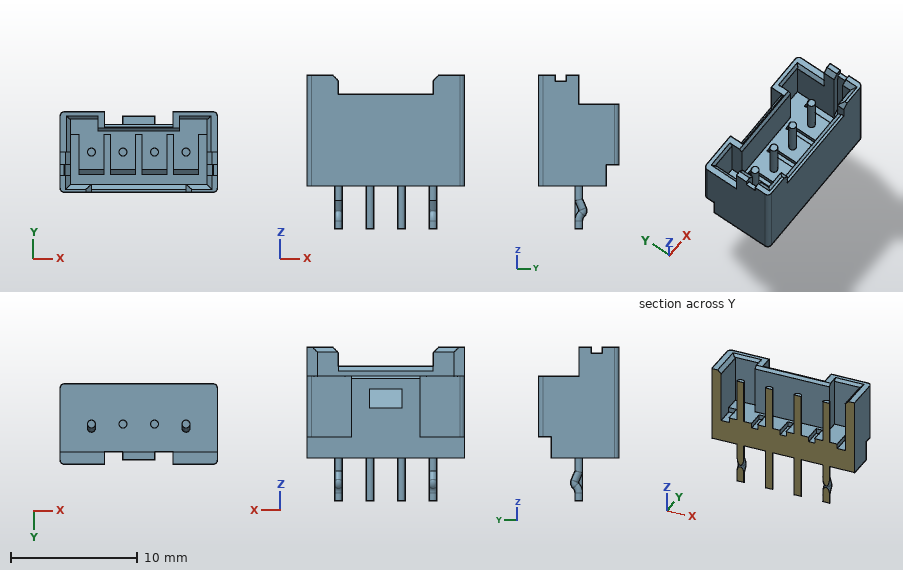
import cadquery as cq
import math

WIDTH = 12.5
DEPTH = 6.4
HEIGHT = 8.8
HALF_WIDTH = WIDTH / 2
CORNER_RADIUS = 0.35
BASE_DEPTH = 5.4
EAR_BOTTOM = 1.68
LOW_RIM = 6.5
TALL_DEPTH = 3.2

SIDE_WALL = 0.82
FRONT_WALL = 0.61
EAR_BACK_WALL = 0.56
RECESS_HALF_WIDTH = 2.71
RECESS_WALL = 0.51
EAR_INNER_X = 3.25
FLOOR = 2.3
CAVITY_HALF_WIDTH = HALF_WIDTH - SIDE_WALL
CAVITY_BACK = DEPTH - EAR_BACK_WALL
RECESS_INNER_Y = BASE_DEPTH - RECESS_WALL

TALL_BEVEL = 0.39
LOW_SIDE_BEVEL = 0.3
LOW_BACK_BEVEL = 0.22
RECESS_EDGE_BEVEL = 0.2

NOTCH_HALF_WIDTH = 3.75
NOTCH_DEPTH = 1.5
NOTCH_BEVEL = 0.45

SLOT_FRONT = 1.35
SLOT_BACK = 2.2
SLOT_DEPTH = 0.48
SLOT_TOP_WALL = 0.34
SLOT_BOTTOM_WALL = 0.4

LATCH_WIDTH = 2.55
LATCH_REACH = 0.65
LATCH_TOP = 5.5
LATCH_HEIGHT = 1.54

PIN_COUNT = 4
PIN_PITCH = 2.5
PIN_RADIUS = 0.31
PIN_Y = 3.2
PIN_TOP = 5.9
PIN_BOTTOM = -3.4
KINK_BOTTOM = -2.78
KINK_SWEEP_RADIUS = 0.84
KINK_SWEEP_ANGLE = math.radians(45)
KINK_BEND_RADIUS = 0.32
KINK_LEAN = math.radians(23)

STRIP_DROP = 0.41
STRIP_BACK = 4.6
PAD_WIDTH = 1.99
PAD_FOOT = 1.41
PAD_EDGE = PAD_FOOT + STRIP_DROP

PIN_XS = [PIN_PITCH * (i - (PIN_COUNT - 1) / 2) for i in range(PIN_COUNT)]


def block(x0, x1, y0, y1, z0, z1):
    """Box given by its two limits along each axis."""
    return cq.Workplane("XY").box(x1 - x0, y1 - y0, z1 - z0, centered=False).translate((x0, y0, z0))


def across(points, x0, x1):
    """Prism along X from a (Y, Z) outline."""
    return cq.Workplane("YZ").polyline(points).close().extrude(x1 - x0).translate((x0, 0, 0))


def along(points, y0, y1):
    """Prism along Y from an (X, Z) outline."""
    return cq.Workplane("XZ").polyline(points).close().extrude(y0 - y1).translate((0, y0, 0))


def both_sides(shape):
    """The shape together with its mirror image in X."""
    return shape.union(shape.mirror("YZ"))


def bevelled_sides(bevel, rim):
    """(X, Z) section of the cavity from its floor to a rim with 45 degree bevels on both sides."""
    return [
        (-CAVITY_HALF_WIDTH, FLOOR),
        (-CAVITY_HALF_WIDTH, rim - bevel),
        (-CAVITY_HALF_WIDTH - bevel, rim),
        (CAVITY_HALF_WIDTH + bevel, rim),
        (CAVITY_HALF_WIDTH, rim - bevel),
        (CAVITY_HALF_WIDTH, FLOOR),
    ]


def housing():
    outline = cq.Workplane("XY").rect(WIDTH, DEPTH).extrude(HEIGHT).translate((0, DEPTH / 2, 0))
    body = outline.edges("|Z").fillet(CORNER_RADIUS)
    body = body.cut(block(-HALF_WIDTH, HALF_WIDTH, TALL_DEPTH, DEPTH, LOW_RIM, HEIGHT))
    body = body.cut(block(-HALF_WIDTH, HALF_WIDTH, BASE_DEPTH, DEPTH, 0, EAR_BOTTOM))
    recess = [
        (BASE_DEPTH, 0),
        (BASE_DEPTH, LOW_RIM - RECESS_EDGE_BEVEL),
        (BASE_DEPTH - RECESS_EDGE_BEVEL, LOW_RIM),
        (DEPTH, LOW_RIM),
        (DEPTH, 0),
    ]
    return body.cut(across(recess, -RECESS_HALF_WIDTH, RECESS_HALF_WIDTH))


def cavity():
    front_sides = bevelled_sides(TALL_BEVEL, HEIGHT)
    front_wall = [
        (FRONT_WALL, FLOOR),
        (FRONT_WALL, HEIGHT - TALL_BEVEL),
        (FRONT_WALL - TALL_BEVEL, HEIGHT),
        (TALL_DEPTH, HEIGHT),
        (TALL_DEPTH, FLOOR),
    ]
    front_part = along(front_sides, 0, DEPTH).intersect(across(front_wall, -HALF_WIDTH, HALF_WIDTH))

    rear_sides = bevelled_sides(LOW_SIDE_BEVEL, LOW_RIM)
    rear_wall = [
        (TALL_DEPTH, FLOOR),
        (TALL_DEPTH, LOW_RIM),
        (CAVITY_BACK + LOW_BACK_BEVEL, LOW_RIM),
        (CAVITY_BACK, LOW_RIM - LOW_BACK_BEVEL),
        (CAVITY_BACK, FLOOR),
    ]
    rear_part = along(rear_sides, 0, DEPTH).intersect(across(rear_wall, -HALF_WIDTH, HALF_WIDTH))

    step = [
        (RECESS_INNER_Y, FLOOR),
        (RECESS_INNER_Y, LOW_RIM - LOW_BACK_BEVEL),
        (RECESS_INNER_Y + LOW_BACK_BEVEL, LOW_RIM),
        (DEPTH, LOW_RIM),
        (DEPTH, FLOOR),
    ]
    return front_part.union(rear_part.cut(across(step, -EAR_INNER_X, EAR_INNER_X)))


def front_notch():
    bottom = HEIGHT - NOTCH_DEPTH
    outline = [
        (-NOTCH_HALF_WIDTH, bottom),
        (NOTCH_HALF_WIDTH, bottom),
        (NOTCH_HALF_WIDTH, HEIGHT - NOTCH_BEVEL),
        (NOTCH_HALF_WIDTH + NOTCH_BEVEL, HEIGHT),
        (-NOTCH_HALF_WIDTH - NOTCH_BEVEL, HEIGHT),
        (-NOTCH_HALF_WIDTH, HEIGHT - NOTCH_BEVEL),
    ]
    inner_bevel = [
        (FRONT_WALL, bottom),
        (FRONT_WALL - TALL_BEVEL, bottom),
        (FRONT_WALL, bottom - TALL_BEVEL),
    ]
    notch = along(outline, 0, FRONT_WALL)
    return notch.union(across(inner_bevel, -NOTCH_HALF_WIDTH, NOTCH_HALF_WIDTH))


def keying_slots():
    slot_floor = HEIGHT - SLOT_DEPTH
    slope_x = HALF_WIDTH - SLOT_BOTTOM_WALL
    slope_height = slope_x - CAVITY_HALF_WIDTH
    outline = [
        (CAVITY_HALF_WIDTH, FLOOR),
        (slope_x, FLOOR + slope_height),
        (HALF_WIDTH - SLOT_TOP_WALL, slot_floor),
        (HALF_WIDTH, slot_floor),
        (HALF_WIDTH, HEIGHT),
        (CAVITY_HALF_WIDTH, HEIGHT),
    ]
    return both_sides(along(outline, SLOT_FRONT, SLOT_BACK))


def sunken_strip():
    bottom = FLOOR - STRIP_DROP
    strip = block(-CAVITY_HALF_WIDTH, CAVITY_HALF_WIDTH, FRONT_WALL, STRIP_BACK, bottom, FLOOR)
    pad = [(PAD_FOOT, bottom), (PAD_EDGE, FLOOR), (STRIP_BACK, FLOOR), (STRIP_BACK, bottom)]
    for x in PIN_XS:
        strip = strip.cut(across(pad, x - PAD_WIDTH / 2, x + PAD_WIDTH / 2))
    return strip


def latch():
    bottom = LATCH_TOP - LATCH_HEIGHT
    ramp = [
        (BASE_DEPTH, LATCH_TOP),
        (BASE_DEPTH + LATCH_REACH, bottom),
        (BASE_DEPTH, bottom),
    ]
    return across(ramp, -LATCH_WIDTH / 2, LATCH_WIDTH / 2)


def straight_pin(x):
    return cq.Workplane("XY", origin=(x, PIN_Y, PIN_BOTTOM)).circle(PIN_RADIUS).extrude(PIN_TOP - PIN_BOTTOM)


def kinked_pin(x):
    """Contact whose tail bulges backwards to grip its board hole."""

    def on_arc(centre, radius, angle):
        return (centre[0] + radius * math.cos(angle), centre[1] + radius * math.sin(angle))

    sweep_centre = (PIN_Y + KINK_SWEEP_RADIUS, KINK_BOTTOM)
    sweep_mid = on_arc(sweep_centre, KINK_SWEEP_RADIUS, math.pi - KINK_SWEEP_ANGLE / 2)
    sweep_end = on_arc(sweep_centre, KINK_SWEEP_RADIUS, math.pi - KINK_SWEEP_ANGLE)
    bend_centre = on_arc(sweep_end, KINK_BEND_RADIUS, math.pi - KINK_SWEEP_ANGLE)
    bend_mid = on_arc(bend_centre, KINK_BEND_RADIUS, (KINK_LEAN - KINK_SWEEP_ANGLE) / 2)
    bend_end = on_arc(bend_centre, KINK_BEND_RADIUS, KINK_LEAN)
    elbow = (PIN_Y, bend_end[1] + (bend_end[0] - PIN_Y) / math.tan(KINK_LEAN))

    path = (
        cq.Workplane("YZ", origin=(x, 0, 0))
        .moveTo(PIN_Y, PIN_BOTTOM)
        .lineTo(PIN_Y, KINK_BOTTOM)
        .threePointArc(sweep_mid, sweep_end)
        .threePointArc(bend_mid, bend_end)
        .lineTo(*elbow)
        .lineTo(PIN_Y, PIN_TOP)
    )
    tip = cq.Workplane("XY", origin=(x, PIN_Y, PIN_BOTTOM)).circle(PIN_RADIUS)
    return tip.sweep(path, transition="right")


result = housing().cut(cavity()).cut(front_notch()).cut(keying_slots()).cut(sunken_strip()).union(latch())
for index, pin_x in enumerate(PIN_XS):
    is_outer = index in (0, PIN_COUNT - 1)
    result = result.union(kinked_pin(pin_x) if is_outer else straight_pin(pin_x))